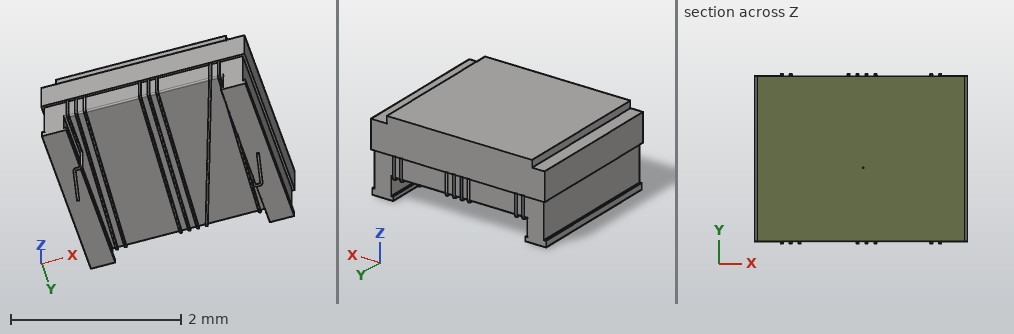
import cadquery as cq
import math


total_height = 1.13
plate_length = 2.5
plate_width = 2.0
plate_thickness = 0.4
lid_left = -1.07
lid_right = 1.02
lid_thickness = 0.1
lid_front_setback = 0.0038

wire_diameter = 0.03
wire_press = 0.002
core_bend_radius = 0.035
foot_bend_radius = 0.045

leg_thickness = 0.24
terminal_thickness = 0.03
terminal_outer_height = 0.088
terminal_inner_height = 0.058
core_thickness = 0.298
wire_overlap = 0.05

turn_pitch = 0.105
first_turn_x = -0.93
middle_turn_x = -0.04
foot_drop_y = 0.422
foot_corner_x = -1.02
foot_tip_x = -1.105

plate_top = total_height - lid_thickness
plate_bottom = plate_top - plate_thickness
core_bottom = plate_bottom - core_thickness
wire_radius = wire_diameter / 2
wire_center_gap = wire_radius - wire_press
leg_bottom = wire_diameter
wire_y = plate_width / 2 - wire_radius
core_half_width = wire_y - wire_center_gap
core_edge_radius = core_bend_radius - wire_radius
leg_outer_x = plate_length / 2 - terminal_thickness
leg_inner_x = leg_outer_x - leg_thickness
wire_under_z = core_bottom - wire_center_gap
wire_top_z = plate_bottom + wire_overlap


def block(x_range, y_range, z_range):
    """Axis-aligned box given by its (low, high) limits."""
    lows, highs = zip(x_range, y_range, z_range)
    sizes = [high - low for low, high in zip(lows, highs)]
    return cq.Workplane("XY").box(*sizes, centered=False).translate(lows)


def make_cover():
    """Cover plate with the lid film on its top face."""
    half_width = plate_width / 2
    plate = block(
        (-plate_length / 2, plate_length / 2), (-half_width, half_width), (plate_bottom, plate_top)
    )
    lid = block(
        (lid_left, lid_right), (lid_front_setback - half_width, half_width), (plate_top, total_height)
    )
    return plate.union(lid)


def make_core():
    """Bar that carries the winding, with its long lower edges rounded."""
    bar = block(
        (-leg_inner_x, leg_inner_x), (-core_half_width, core_half_width), (core_bottom, plate_bottom)
    )
    return bar.edges("|X and <Z").fillet(core_edge_radius)


def make_right_leg():
    """End leg, with the terminal standing proud on both sides of its lower end."""
    width_range = (-core_half_width, core_half_width)
    leg = block((leg_inner_x, leg_outer_x), width_range, (leg_bottom, plate_bottom))
    middle_x = (leg_inner_x + leg_outer_x) / 2
    outer_lip = block(
        (middle_x, leg_outer_x + terminal_thickness),
        width_range,
        (leg_bottom, leg_bottom + terminal_outer_height),
    )
    inner_lip = block(
        (leg_inner_x - terminal_thickness, middle_x),
        width_range,
        (leg_bottom, leg_bottom + terminal_inner_height),
    )
    return leg.union(outer_lip).union(inner_lip)


def bent_wire(corners, bend_radii):
    """Round wire along straight runs, with a tangent arc at each inner corner."""
    points = [cq.Vector(*corner) for corner in corners]
    path = []
    run_start = points[0]
    for before, corner, after, radius in zip(points, points[1:], points[2:], bend_radii):
        back = (before - corner).normalized()
        ahead = (after - corner).normalized()
        half_angle = back.getAngle(ahead) / 2
        setback = radius / math.tan(half_angle)
        arc_start = corner + back * setback
        arc_end = corner + ahead * setback
        arc_middle = corner + (back + ahead).normalized() * (radius / math.sin(half_angle) - radius)
        path.append(cq.Edge.makeLine(run_start, arc_start))
        path.append(cq.Edge.makeThreePointArc(arc_start, arc_middle, arc_end))
        run_start = arc_end
    path.append(cq.Edge.makeLine(run_start, points[-1]))
    profile_plane = cq.Plane(origin=points[0], normal=points[1] - points[0])
    spine = cq.Workplane(cq.Wire.assembleEdges(path))
    return cq.Workplane(profile_plane).circle(wire_radius).sweep(spine)


def make_turn(front_x, back_x):
    """One winding turn: down the front, across under the core, and up the back."""
    corners = [
        (front_x, -wire_y, wire_top_z),
        (front_x, -wire_y, wire_under_z),
        (back_x, wire_y, wire_under_z),
        (back_x, wire_y, wire_top_z),
    ]
    return bent_wire(corners, [core_bend_radius] * 2)


def make_left_end():
    """Wire end: under the core, down beside the left leg and along under its terminal."""
    corners = [
        (first_turn_x, -wire_y, wire_top_z),
        (first_turn_x, -wire_y, wire_under_z),
        (first_turn_x, -foot_drop_y, wire_under_z),
        (first_turn_x, -foot_drop_y, wire_radius),
        (foot_corner_x, -foot_drop_y, wire_radius),
        (foot_tip_x, 0, wire_radius),
    ]
    return bent_wire(corners, [core_bend_radius] * 2 + [foot_bend_radius, core_bend_radius])


last_turn_x = -first_turn_x
turns = [(first_turn_x + (i + 1) * turn_pitch, first_turn_x + i * turn_pitch) for i in range(2)]
turns += [(middle_turn_x + i * turn_pitch, middle_turn_x + (i - 1) * turn_pitch) for i in range(3)]
turns.append((last_turn_x - turn_pitch, middle_turn_x + 2 * turn_pitch))
turns.append((last_turn_x, last_turn_x - turn_pitch))

result = make_cover().union(make_core())
right_leg = make_right_leg()
result = result.union(right_leg).union(right_leg.mirror("YZ"))
for front_x, back_x in turns:
    result = result.union(make_turn(front_x, back_x))
left_end = make_left_end()
result = result.union(left_end).union(left_end.rotate((0, 0, 0), (0, 0, 1), 180))